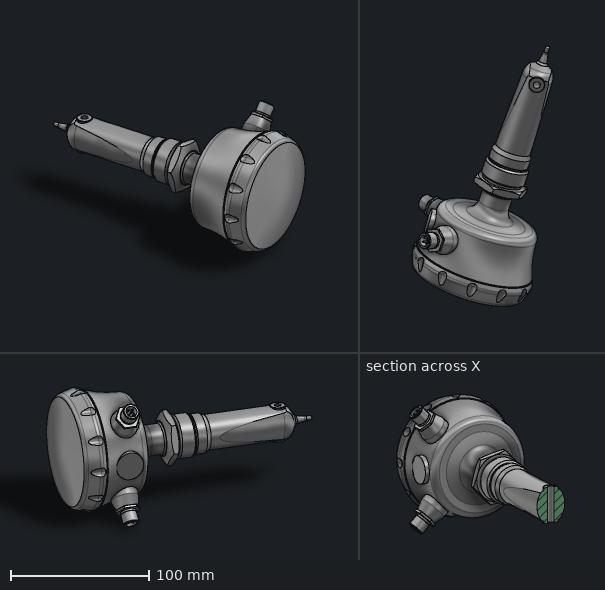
import cadquery as cq
import math

total_length = 191.5

tip_radius = 1.7
tip_round = 1.1
tip_length = 4.6
tip_step_radius = 2.1
tip_cone_start = 6.1
tip_cone_end = 12.3
tip_cone_radius = 3.3
nose_start = 14.0
nose_start_radius = 4.6
nose_end = 17.2
nose_end_radius = 9.5
shoulder_end = 22.0
barrel_radius = 13.2

flank_start = 24.7
flank_end = 75.5
flank_start_offset = 11.5
flank_start_radius = 18.2
flank_nose_radius = 12.0

cross_hole_x = 26.2
cross_hole_diameter = 5.0
ring_diameter = 11.7
ring_height = 13.6
ring_chamfer = 0.4

collar_start = 82.2
collar_front = 85.6
collar_radius = 15.0
groove_start = 92.7
groove_end = 94.0
groove_radius = 14.0
sleeve_front = 95.5
sleeve_back = 105.3
sleeve_radius = 16.5
thread_start = 106.7
thread_radius = 14.5

nut_front = 108.5
nut_back = 116.2
hex_sides = 6
nut_corner_diameter = 41.4
nut_turn = 13.4
nut_front_radius = 17.8
nut_front_chamfer = 1.1
nut_cone_start = 113.0
nut_back_radius = 13.2
nut_collar_radius = 12.5
neck_start = 117.5

neck_radius = 11.5
neck_end = 127.0
neck_fillet = 10.5
face_x = 138.3
neck_flare_radius = 17.8
face_inner_radius = 27.4
housing_fillet = 5.0
housing_front_radius = 38.1
flare_mid = 160.3
flare_mid_radius = 40.2
flare_end = 172.5
flare_end_radius = 44.0

lid_start = 173.3
lid_gap_depth = 0.5
rim_start = 176.4
rim_end = 178.9
rim_radius = 45.5
rim_crown = 0.2
lid_cone_end = 187.3
lid_cone_radius = 42.7
lid_edge_x = 189.8
lid_edge_radius = 40.2
flute_count = 12
flute_radius = 3.8
flute_axis_distance = 47.1
flute_start = 177.5

port_x = 154.7
port_angle = 45.0
port_inner = 28.7
port_base_diameter = 20.9
plug_height = 41.4
port_base_height = 42.5
hex_bottom = 50.5
hex_top = 52.5
hex_width = 16.0
relief_diameter = 11.7
relief_top = 54.2
plug_diameter = 12.0
plug_end_diameter = 11.0
port_height = 62.5
socket_diameter = 8.0
socket_depth = 7.7
pin_count = 4
pin_turn = 45.0
pin_diameter = 1.0
pin_circle_radius = 2.5
pin_recess = 1.5


def make_barrel_and_tip():
    """Turned probe: tip, nose cone and plain barrel."""
    profile = (
        cq.Workplane("XY")
        .moveTo(0, 0)
        .lineTo(0, tip_radius - tip_round)
        .radiusArc((tip_round, tip_radius), tip_round)
        .lineTo(tip_length, tip_radius)
        .lineTo(tip_length, tip_step_radius)
        .lineTo(tip_cone_start, tip_step_radius)
        .lineTo(tip_cone_end, tip_cone_radius)
        .lineTo(nose_start, nose_start_radius)
        .lineTo(nose_end, nose_end_radius)
        .tangentArcPoint((shoulder_end, barrel_radius), relative=False)
        .lineTo(collar_start, barrel_radius)
        .lineTo(collar_start, 0)
        .close()
    )
    return profile.revolve(360, (0, 0), (1, 0))


def make_flank_cutter(side):
    """Material outside one flank, a cone behind a rounded nose, on an axis shifted in Y."""
    axis_y = side * (flank_start_offset - flank_start_radius)
    slope = (barrel_radius - flank_start_offset) / (flank_end - flank_start)
    end_offset = flank_start_offset + slope * (collar_start - flank_start)
    arc_center_y = flank_start_offset - flank_nose_radius
    diagonal = flank_nose_radius * math.sqrt(0.5)
    nose_drop = arc_center_y - nose_start_radius
    nose_x = flank_start - math.sqrt(flank_nose_radius ** 2 - nose_drop ** 2)
    outside = 2 * barrel_radius
    profile = (
        cq.Workplane("XY")
        .moveTo(nose_x, side * nose_start_radius)
        .threePointArc(
            (flank_start - diagonal, side * (arc_center_y + diagonal)),
            (flank_start, side * flank_start_offset),
        )
        .lineTo(collar_start, side * end_offset)
        .lineTo(collar_start, side * outside)
        .lineTo(nose_x, side * outside)
        .close()
    )
    return profile.revolve(360, (0, axis_y), (1, axis_y))


def make_cross_ring():
    """Bar along Z whose chamfered ends stand proud of the barrel."""
    return (
        cq.Workplane("XY", origin=(cross_hole_x, 0, -ring_height))
        .circle(ring_diameter / 2)
        .extrude(2 * ring_height)
        .edges()
        .chamfer(ring_chamfer)
    )


def make_probe():
    """Barrel with both flanks ground away, the raised rings and the cross hole."""
    probe = make_barrel_and_tip()
    for side in (1, -1):
        half_space = (
            cq.Workplane("XY")
            .box(total_length, 2 * barrel_radius, 4 * barrel_radius)
            .translate((total_length / 2, side * barrel_radius, 0))
        )
        probe = probe.cut(make_flank_cutter(side).intersect(half_space))
    hole = (
        cq.Workplane("XY", origin=(cross_hole_x, 0, -ring_height))
        .circle(cross_hole_diameter / 2)
        .extrude(2 * ring_height)
    )
    return probe.union(make_cross_ring()).cut(hole)


def make_collar():
    """Stepped collar with a sealing groove, the sleeve and the thread under the nut."""
    points = [
        (collar_start, 0),
        (collar_start, barrel_radius),
        (collar_front, collar_radius),
        (groove_start, collar_radius),
        (groove_start, groove_radius),
        (groove_end, groove_radius),
        (groove_end, collar_radius),
        (sleeve_front, sleeve_radius),
        (sleeve_back, sleeve_radius),
        (thread_start, thread_radius),
        (nut_front, thread_radius),
        (nut_front, 0),
    ]
    return cq.Workplane("XY").polyline(points).close().revolve(360, (0, 0), (1, 0))


def make_nut():
    """Hexagon with a small front chamfer and a full cone at the back."""
    corner_radius = nut_corner_diameter / 2
    envelope_points = [
        (nut_front, 0),
        (nut_front, nut_front_radius),
        (nut_front + nut_front_chamfer, corner_radius),
        (nut_cone_start, corner_radius),
        (nut_back, nut_back_radius),
        (nut_back, 0),
    ]
    envelope = cq.Workplane("XY").polyline(envelope_points).close().revolve(360, (0, 0), (1, 0))
    hexagon = (
        cq.Workplane("YZ", origin=(nut_front, 0, 0))
        .polygon(hex_sides, nut_corner_diameter)
        .extrude(nut_back - nut_front)
        .rotate((0, 0, 0), (1, 0, 0), -nut_turn)
    )
    return hexagon.intersect(envelope)


def make_housing():
    """Turned neck, bell-shaped housing and fluted lid."""
    flare_offset = neck_radius + neck_fillet - neck_flare_radius
    neck_flare_x = neck_end + math.sqrt(neck_fillet ** 2 - flare_offset ** 2)
    face_outer_radius = housing_front_radius - housing_fillet
    profile = (
        cq.Workplane("XY")
        .moveTo(nut_back, 0)
        .lineTo(nut_back, nut_collar_radius)
        .lineTo(neck_start, neck_radius)
        .lineTo(neck_end, neck_radius)
        .radiusArc((neck_flare_x, neck_flare_radius), -neck_fillet)
        .lineTo(face_x, face_inner_radius)
        .lineTo(face_x, face_outer_radius)
        .radiusArc((face_x + housing_fillet, housing_front_radius), housing_fillet)
        .threePointArc((flare_mid, flare_mid_radius), (flare_end, flare_end_radius))
        .lineTo(flare_end, flare_end_radius - lid_gap_depth)
        .lineTo(lid_start, flare_end_radius - lid_gap_depth)
        .lineTo(lid_start, flare_end_radius)
        .lineTo(rim_start, rim_radius - rim_crown)
        .threePointArc(((rim_start + rim_end) / 2, rim_radius), (rim_end, rim_radius - rim_crown))
        .lineTo(lid_cone_end, lid_cone_radius)
        .tangentArcPoint((lid_edge_x, lid_edge_radius), relative=False)
        .lineTo(total_length, 0)
        .close()
    )
    return profile.revolve(360, (0, 0), (1, 0))


def make_flute():
    """Round-ended grip flute at the -Y side of the lid."""
    rod = (
        cq.Workplane("YZ", origin=(flute_start, -flute_axis_distance, 0))
        .circle(flute_radius)
        .extrude(total_length - flute_start)
    )
    ball = cq.Workplane("XY").sphere(flute_radius).translate((flute_start, -flute_axis_distance, 0))
    return rod.union(ball)


def make_port_base(height):
    """Round boss along +Y that starts inside the housing and ends at the given height."""
    return (
        cq.Workplane("XZ", origin=(port_x, port_inner, 0))
        .circle(port_base_diameter / 2)
        .extrude(port_inner - height)
    )


def make_connector():
    """Plug connector with a hexagon collar and a pin socket, standing along +Y."""
    plug_chamfer = (plug_diameter - plug_end_diameter) / 2
    socket_floor = port_height - socket_depth
    points = [
        (0, port_inner),
        (port_base_diameter / 2, port_inner),
        (port_base_diameter / 2, port_base_height),
        (hex_width / 2, hex_bottom),
        (relief_diameter / 2, hex_bottom),
        (relief_diameter / 2, relief_top),
        (plug_diameter / 2, relief_top),
        (plug_diameter / 2, port_height - plug_chamfer),
        (plug_end_diameter / 2, port_height),
        (socket_diameter / 2, port_height),
        (socket_diameter / 2, socket_floor),
        (0, socket_floor),
    ]
    turned = cq.Workplane("XY").polyline(points).close().revolve(360, (0, 0), (0, 1))
    hexagon = (
        cq.Workplane("XZ", origin=(0, hex_bottom, 0))
        .polygon(hex_sides, hex_width / math.cos(math.pi / hex_sides))
        .extrude(hex_bottom - hex_top)
    )
    pins = (
        cq.Workplane("XZ", origin=(0, socket_floor, 0))
        .polarArray(pin_circle_radius, pin_turn, 360, pin_count)
        .circle(pin_diameter / 2)
        .extrude(pin_recess - socket_depth)
    )
    return turned.union(hexagon).union(pins).translate((port_x, 0, 0))


result = make_housing().union(make_nut()).union(make_collar()).union(make_probe())
for index in range(flute_count):
    result = result.cut(make_flute().rotate((0, 0, 0), (1, 0, 0), index * 360 / flute_count))
result = result.union(make_port_base(plug_height))
for turn in (port_angle, -port_angle):
    result = result.union(make_connector().rotate((0, 0, 0), (1, 0, 0), turn))